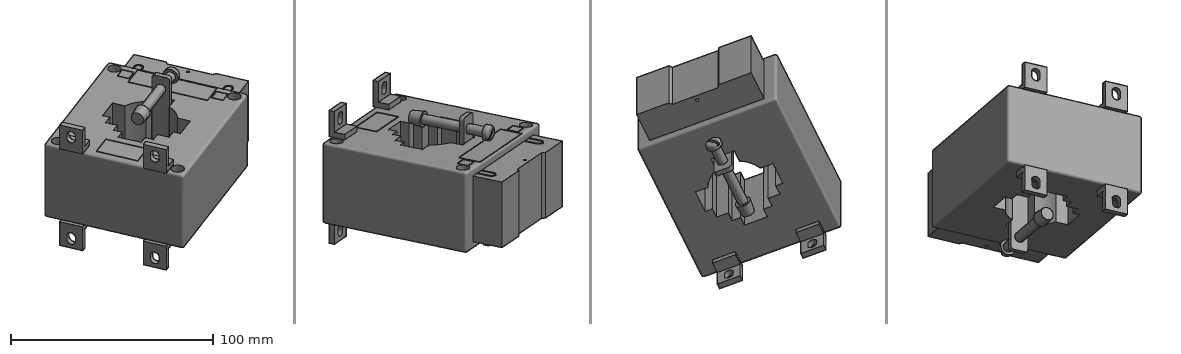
import cadquery as cq
import math


case_width = 75.0
case_length = 81.7
case_height = 43.0
case_round = 1.4
case_top = case_height / 2

block_width = 61.7
block_height = 35.0
block_length = 16.3
block_back = case_length + block_length
block_top = block_height / 2
back_notch_depth = 1.5
back_notch_floor_width = 24.6
back_notch_slope_run = 1.2
seal_hole_diameter = 1.5
seal_hole_inset = 4.2

groove_spacing = 48.3
groove_outer_width = 4.9
groove_line_width = 0.6
groove_reach = 9.0
groove_depth = 0.3

window_center_y = 41.1
bar_slot_width = 12.4
bar_slot_length = 41.8
window_diameter = 31.0
cross_bar_length = 41.8
cross_bar_front = window_center_y - 5.9
middle_step_width = 34.1
middle_step_front = 29.9
small_step_width = 21.5
small_step_front = 25.0
bar_slot_back = window_center_y + bar_slot_length / 2

corner_hole_diameter = 6.5
corner_hole_depth = 5.9
corner_hole_spacing_x = 64.35
corner_hole_front_y = 5.2
corner_hole_back_y = 76.7
recess_depth = 0.3
nameplate_width = 42.7
recess_length = 12.0
nameplate_center_y = 74.3
mark_recess_width = 22.3
mark_recess_center_y = 10.2
mark_square = 6.1
mark_square_spacing = 50.6
mark_square_center_y = 74.4

foot_width = 12.4
foot_thickness = 3.0
foot_spacing = 44.9
foot_overhang = 1.0
foot_length = 8.9
foot_tip_z = 71.0 / 2
foot_slot_width = 4.7
foot_slot_length = 6.6
foot_slot_center_z = 29.9

clamp_width = 9.5
clamp_thickness = 2.5
clamp_height = 70.6
clamp_corner_radius = 1.8
clamp_center_y = bar_slot_back - clamp_thickness / 2
screw_z = 28.0
shank_diameter = 5.2
head_diameter = 8.0
head_thickness = 3.3
head_round = 1.4
head_back_y = 75.0
head_slot_width = 1.2
head_slot_depth = 1.8
head_slot_angle = 45.0
cap_back_y = 36.6
cap_length = 6.7
cap_back_diameter = 8.0
cap_tip_diameter = 6.6


def box_between(width, y_front, y_back, z_low, z_high):
    """Box centered on X = 0."""
    size_y = y_back - y_front
    size_z = z_high - z_low
    box = cq.Workplane("XY").box(width, size_y, size_z, centered=(True, False, False))
    return box.translate((0, y_front, z_low))


def make_terminal_block():
    block = box_between(block_width, case_length - case_round, block_back, -block_top, block_top)
    floor_half = back_notch_floor_width / 2
    mouth_half = floor_half + back_notch_slope_run
    floor_y = block_back - back_notch_depth
    notch = (
        cq.Workplane("XY", origin=(0, 0, -block_top))
        .moveTo(-mouth_half, block_back)
        .lineTo(-floor_half, floor_y)
        .lineTo(floor_half, floor_y)
        .lineTo(mouth_half, block_back)
        .close()
        .extrude(block_height)
    )
    seal_hole = (
        cq.Workplane("XY", origin=(0, block_back - seal_hole_inset, -block_top))
        .circle(seal_hole_diameter / 2)
        .extrude(block_height)
    )
    return block.cut(notch).cut(seal_hole)


def arch(center_x, width, height):
    """Round-ended upright of the given width, starting at the back face of the case."""
    radius = width / 2
    shoulder_y = case_length + height - radius
    return (
        cq.Workplane("XY", origin=(center_x, 0, block_top - groove_depth))
        .moveTo(-radius, case_length)
        .lineTo(-radius, shoulder_y)
        .threePointArc((0, shoulder_y + radius), (radius, shoulder_y))
        .lineTo(radius, case_length)
        .close()
        .extrude(groove_depth)
    )


def make_grooves():
    grooves = cq.Workplane("XY")
    for side in (-1, 1):
        center_x = side * groove_spacing / 2
        inner_width = groove_outer_width - 2 * groove_line_width
        outer = arch(center_x, groove_outer_width, groove_reach)
        inner = arch(center_x, inner_width, groove_reach - groove_line_width)
        grooves = grooves.add(outer.cut(inner))
    return grooves.combine()


def make_window():
    """Outline shared by one round cable and busbars of several sizes."""
    window = (
        cq.Workplane("XY", origin=(0, window_center_y, -case_top))
        .circle(window_diameter / 2)
        .extrude(case_height)
    )
    bar_slot_front = window_center_y - bar_slot_length / 2
    cross_bar_back = cross_bar_front + bar_slot_width
    steps = [
        (bar_slot_width, bar_slot_front, bar_slot_back),
        (cross_bar_length, cross_bar_front, cross_bar_back),
        (middle_step_width, middle_step_front, window_center_y),
        (small_step_width, small_step_front, window_center_y),
    ]
    for width, front, back in steps:
        window = window.union(box_between(width, front, back, -case_top, case_top))
    return window


def make_corner_holes():
    half_spacing = corner_hole_spacing_x / 2
    rows = (corner_hole_front_y, corner_hole_back_y)
    centers = [(x, y) for x in (-half_spacing, half_spacing) for y in rows]
    return (
        cq.Workplane("XY", origin=(0, 0, case_top - corner_hole_depth))
        .pushPoints(centers)
        .circle(corner_hole_diameter / 2)
        .extrude(corner_hole_depth)
    )


def make_recesses():
    """Shallow areas that carry the nameplate and the terminal marks."""
    half_spacing = mark_square_spacing / 2
    areas = [
        (0, nameplate_center_y, nameplate_width, recess_length),
        (0, mark_recess_center_y, mark_recess_width, recess_length),
        (-half_spacing, mark_square_center_y, mark_square, mark_square),
        (half_spacing, mark_square_center_y, mark_square, mark_square),
    ]
    recesses = cq.Workplane("XY")
    for center_x, center_y, width, length in areas:
        area = cq.Workplane("XY", origin=(center_x, center_y, case_top - recess_depth))
        recesses = recesses.add(area.rect(width, length).extrude(recess_depth))
    return recesses.combine()


def make_foot(side_x, side_z):
    """L-shaped foot on the top (side_z = 1) or the bottom (side_z = -1) of the case."""
    base_back = foot_length - foot_overhang
    upright_back = foot_thickness - foot_overhang
    base = box_between(foot_width, -foot_overhang, base_back, case_top, case_top + foot_thickness)
    upright = box_between(foot_width, -foot_overhang, upright_back, case_top, foot_tip_z)
    slot = (
        cq.Workplane("XZ", origin=(0, upright_back, foot_slot_center_z))
        .slot2D(foot_slot_length, foot_slot_width, 90)
        .extrude(foot_thickness)
    )
    foot = base.union(upright).cut(slot)
    if side_z < 0:
        foot = foot.mirror("XY")
    return foot.translate((side_x * foot_spacing / 2, 0, 0))


def make_housing():
    housing = box_between(case_width, 0, case_length, -case_top, case_top).edges().fillet(case_round)
    housing = housing.union(make_terminal_block())
    for side_x in (-1, 1):
        for side_z in (-1, 1):
            housing = housing.union(make_foot(side_x, side_z))
    for cutter in (make_grooves(), make_window(), make_corner_holes(), make_recesses()):
        housing = housing.cut(cutter)
    return housing


def make_clamp_plate():
    """Plate through the back end of the window, with a screw hole above and below the case."""
    plate = (
        cq.Workplane("XY")
        .box(clamp_width, clamp_thickness, clamp_height)
        .edges("|Y")
        .fillet(clamp_corner_radius)
    )
    screw_holes = (
        cq.Workplane("XZ", origin=(0, clamp_thickness / 2, 0))
        .pushPoints([(0, screw_z), (0, -screw_z)])
        .circle(shank_diameter / 2)
        .extrude(clamp_thickness)
    )
    return plate.cut(screw_holes).translate((0, clamp_center_y, 0))


def place_on_side(body, side_z):
    """Move a body from the Y axis to the screw axis above or below the case."""
    body = body.translate((0, 0, screw_z))
    return body if side_z > 0 else body.mirror("XY")


def make_screw(side_z):
    """Slotted screw along Y, ending at the cap."""
    shank_radius = shank_diameter / 2
    head_radius = head_diameter / 2
    head_front_y = head_back_y - head_thickness
    round_diagonal = head_round * math.sqrt(0.5)
    round_center_y = head_back_y - head_round
    round_center_r = head_radius - head_round
    screw = (
        cq.Workplane("YZ")
        .moveTo(cap_back_y, 0)
        .lineTo(cap_back_y, shank_radius)
        .lineTo(head_front_y, shank_radius)
        .lineTo(head_front_y, head_radius)
        .lineTo(round_center_y, head_radius)
        .threePointArc(
            (round_center_y + round_diagonal, round_center_r + round_diagonal),
            (head_back_y, round_center_r),
        )
        .lineTo(head_back_y, 0)
        .close()
        .revolve(360, (0, 0, 0), (1, 0, 0))
    )
    slot_floor_y = head_back_y - head_slot_depth
    slot = box_between(head_slot_width, slot_floor_y, head_back_y, -head_radius, head_radius)
    screw = screw.cut(slot).rotate((0, 0, 0), (0, 1, 0), -head_slot_angle)
    return place_on_side(screw, side_z)


def make_cap(side_z):
    """Tapered cap on the tip of a screw."""
    tip_y = cap_back_y - cap_length
    cap = (
        cq.Workplane("YZ")
        .moveTo(tip_y, 0)
        .lineTo(tip_y, cap_tip_diameter / 2)
        .lineTo(cap_back_y, cap_back_diameter / 2)
        .lineTo(cap_back_y, 0)
        .close()
        .revolve(360, (0, 0, 0), (1, 0, 0))
    )
    return place_on_side(cap, side_z)


housing = make_housing()
clamp_plate = make_clamp_plate()
fasteners = []
for side_z in (1, -1):
    fasteners.append(make_screw(side_z).val())
    fasteners.append(make_cap(side_z).val())

result = cq.Compound.makeCompound([housing.val(), clamp_plate.val(), *fasteners])